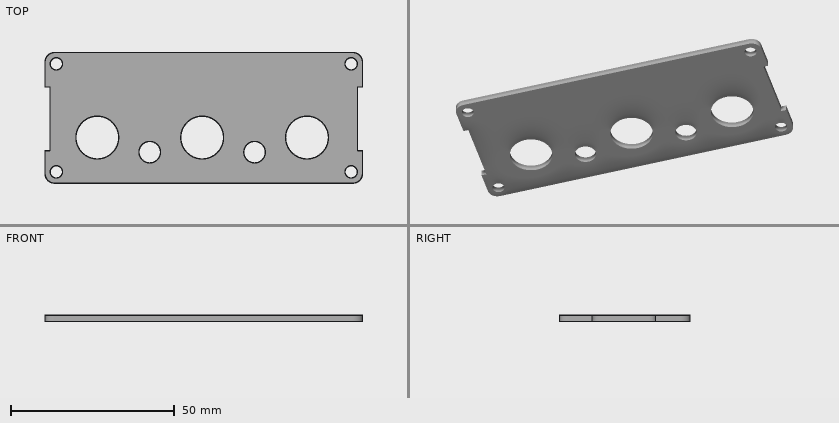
import cadquery as cq

length = 96.9
width = 39.9
thickness = 2.0
corner_radius = 3.0

notch_depth = 1.55
notch_top = 9.4
notch_bottom = -10.0

mount_diameter = 3.7
mount_inset = 3.5

large_diameter = 13.0
small_diameter = 6.5
row_center_x = -0.5
large_pitch = 32.0
large_y = -6.0
small_y = -10.5


def rounded_plate():
    """Flat plate with rounded vertical corners."""
    plate = cq.Workplane("XY").box(length, width, thickness)
    return plate.edges("|Z").fillet(corner_radius)


def cut_edge_notches(plate):
    """Cut a shallow rectangular notch in each short edge."""
    notch_length = notch_top - notch_bottom
    notch_y = (notch_top + notch_bottom) / 2
    for side in (-1, 1):
        notch = cq.Workplane("XY").box(2 * notch_depth, notch_length, thickness)
        plate = plate.cut(notch.translate((side * length / 2, notch_y, 0)))
    return plate


def cut_holes(plate, centers, diameter):
    """Cut through holes of one diameter at the given centres."""
    return plate.faces(">Z").workplane(origin=(0, 0, 0)).pushPoints(centers).hole(diameter)


mount_x = length / 2 - mount_inset
mount_y = width / 2 - mount_inset
mount_centers = [(sx * mount_x, sy * mount_y) for sx in (-1, 1) for sy in (-1, 1)]
large_centers = [(row_center_x + i * large_pitch, large_y) for i in (-1, 0, 1)]
small_centers = [(row_center_x + side * large_pitch / 2, small_y) for side in (-1, 1)]

result = cut_edge_notches(rounded_plate())
result = cut_holes(result, mount_centers, mount_diameter)
result = cut_holes(result, large_centers, large_diameter)
result = cut_holes(result, small_centers, small_diameter)